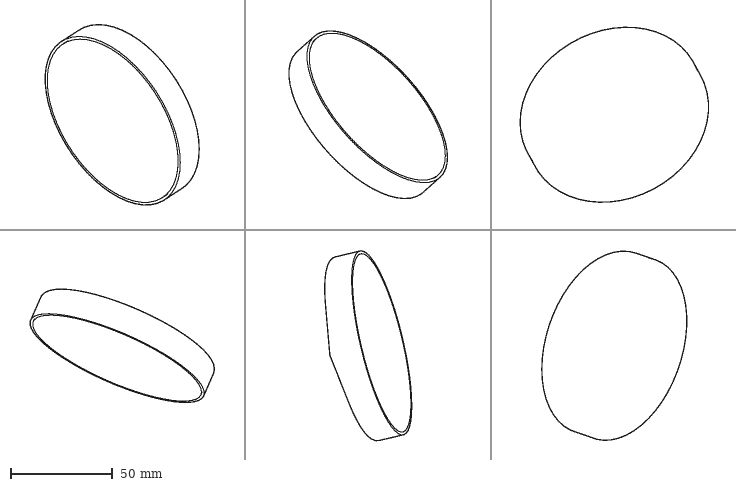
import cadquery as cq
import math

outer_diameter = 93.0
inner_diameter = 90.0
total_height = 27.0
skirt_height = 12.6
shoulder_radius = 2.0

outer_radius = outer_diameter / 2
inner_radius = inner_diameter / 2
sheet_thickness = outer_radius - inner_radius
bend_inner_radius = shoulder_radius - sheet_thickness
bend_center_radius = outer_radius - shoulder_radius

apex_rise = total_height - skirt_height
center_to_apex = math.hypot(bend_center_radius, apex_rise)
cone_slope = math.atan2(apex_rise, bend_center_radius) - math.asin(shoulder_radius / center_to_apex)
inner_apex_height = total_height - sheet_thickness / math.cos(cone_slope)


def bend_point(radius, angle):
    """Point (radial distance, height) on a shoulder arc, with the angle measured from the skirt."""
    return (
        bend_center_radius + radius * math.cos(angle),
        skirt_height + radius * math.sin(angle),
    )


bend_angle = math.pi / 2 - cone_slope

half_section = (
    cq.Workplane("XY")
    .moveTo(inner_radius, 0)
    .lineTo(outer_radius, 0)
    .lineTo(outer_radius, skirt_height)
    .threePointArc(bend_point(shoulder_radius, bend_angle / 2), bend_point(shoulder_radius, bend_angle))
    .lineTo(0, total_height)
    .lineTo(0, inner_apex_height)
    .lineTo(*bend_point(bend_inner_radius, bend_angle))
    .threePointArc(bend_point(bend_inner_radius, bend_angle / 2), (inner_radius, skirt_height))
    .close()
)

result = half_section.revolve(360, (0, 0, 0), (0, 1, 0))